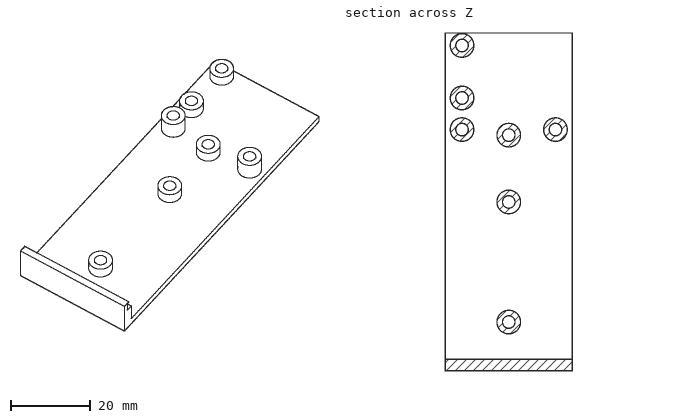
import cadquery as cq

plate_width = 32.0
plate_length = 85.0
plate_thickness = 2.0

standoff_diameter = 6.0
hole_diameter = 3.1
low_standoff_height = 3.0
tall_standoff_height = 4.9

center_x = plate_width / 2
side_hole_offset = 11.75
left_x = center_x - side_hole_offset
right_x = center_x + side_hole_offset
tall_row_y = 60.7
center_column_y = [12.3, 42.5, 59.3]
side_low_y = 68.65
rear_edge_distance = 3.15
rear_y = plate_length - rear_edge_distance
low_standoff_points = [(center_x, y) for y in center_column_y]
low_standoff_points += [(left_x, side_low_y), (left_x, rear_y)]
tall_standoff_points = [(left_x, tall_row_y), (right_x, tall_row_y)]

overall_height = 9.55
ledge_depth = 3.0
ledge_top = plate_thickness + tall_standoff_height
wall_thickness = 1.35
lip_overhang = 0.55
lip_base = overall_height - lip_overhang


def make_plate():
    return cq.Workplane("XY").box(plate_width, plate_length, plate_thickness, centered=False)


def make_standoffs(points, height):
    """Solid cylinders standing on the plate."""
    top_plane = cq.Workplane("XY").workplane(offset=plate_thickness)
    return top_plane.pushPoints(points).circle(standoff_diameter / 2).extrude(height)


def make_clip_wall():
    """Full-width wall with a supporting ledge and a 45 degree overhanging lip."""
    profile = [
        (0, plate_thickness),
        (ledge_depth, plate_thickness),
        (ledge_depth, ledge_top),
        (wall_thickness, ledge_top),
        (wall_thickness, lip_base),
        (wall_thickness + lip_overhang, overall_height),
        (0, overall_height),
    ]
    return cq.Workplane("YZ").polyline(profile).close().extrude(plate_width)


def make_holes(points):
    """Cutters that reach from the underside through the tallest standoff."""
    return cq.Workplane("XY").pushPoints(points).circle(hole_diameter / 2).extrude(overall_height)


result = (
    make_plate()
    .union(make_standoffs(low_standoff_points, low_standoff_height))
    .union(make_standoffs(tall_standoff_points, tall_standoff_height))
    .union(make_clip_wall())
    .cut(make_holes(low_standoff_points + tall_standoff_points))
)